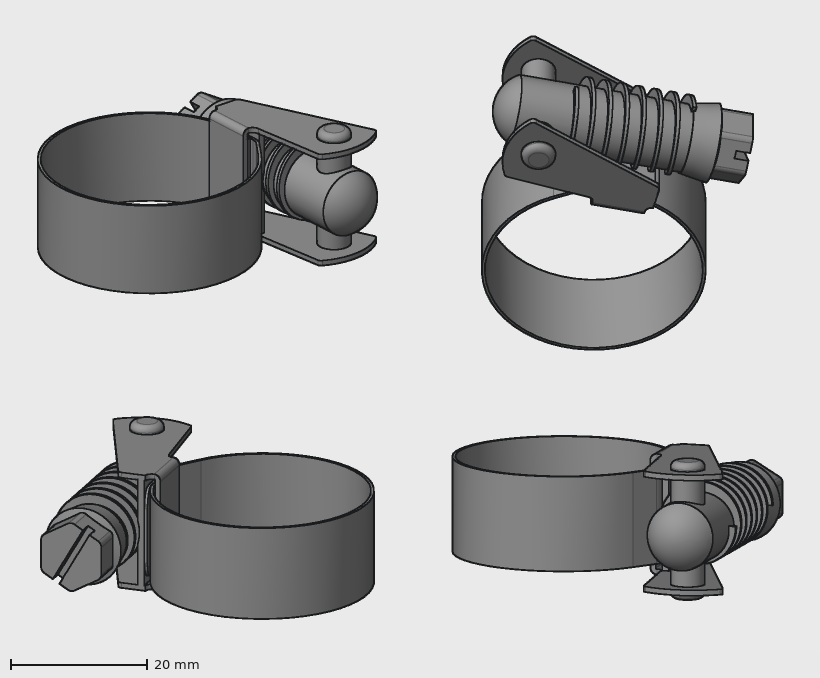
import cadquery as cq
import math


BAND_RADIUS = 16.45
BAND_THICKNESS = 0.45
BAND_WIDTH = 14.15
INNER_LAP_TOP = 16.0
OUTER_LAP_TOP = 16.5
INNER_LAP_END = 3.7
RAMP_ANGLE = 35.0
RAMP_BEND_RADIUS = 2.3
TAIL_END_X = -5.95
TAIL_BEND_X = -4.32
TAIL_ANGLE = 10.0
TAIL_CORNER_RADIUS = 2.85

SCREW_Y = 23.45
SCREW_Z = -0.5
HEX_START_X = -17.25
HEX_ACROSS_FLATS = 9.5
HEX_CORNER_ROUNDING = 1.0
SLOT_WIDTH = 1.2
SLOT_DEPTH = 2.1
SLOT_ANGLE = 120.0
COLLAR_START_X = -12.6
COLLAR_RIM_X = -12.25
COLLAR_END_X = -8.15
COLLAR_RADIUS = 5.95
COLLAR_END_RADIUS = 5.25
SHANK_RADIUS = 5.05
SHANK_END_X = 17.8
DOME_END_X = 20.85

THREAD_RADIUS = 6.07
THREAD_ROOT = 4.35
THREAD_WIDTH = 0.55
THREAD_LENGTH = 17.85
THREAD_TURNS = 7
THREAD_START_X = -8.1

PIN_X = 14.1
PIN_RADIUS = 2.55
PIN_LENGTH = 20.6
PIN_ROUNDING = 1.0

BRACKET_WIDTH = 18.05
SHEET = 0.85
WEB_BOTTOM = 14.5
WEB_HALF_LENGTH = 3.95
BEND_RADIUS = 1.0
EAR_HALF_LENGTH = 4.95
EAR_BOTTOM = 16.45
EAR_TOP = 20.7
CHEEK_TIP = (16.4, 29.68)
CHEEK_NOSE = (19.05, SCREW_Y)
CHEEK_LOWER_TIP = (17.7, 17.75)
CHEEK_ROUNDING = 0.75
BRIDGE_BOTTOM = 16.65
BRIDGE_THICKNESS = 1.0


def round_upright_edge(body, corner, radius):
    """Fillet the edge along Z that passes through the given XY corner."""
    return body.edges(cq.selectors.NearestToPointSelector((*corner, 0))).fillet(radius)


def make_band():
    """One strip: tail, flat outer layer, ramp, ring, then a flat inner layer under the first."""
    inner_radius = BAND_RADIUS - BAND_THICKNESS
    outer_lap_bottom = OUTER_LAP_TOP - BAND_THICKNESS
    inner_lap_bottom = INNER_LAP_TOP - BAND_THICKNESS
    ramp = math.radians(RAMP_ANGLE)

    def ramp_bottom(radius):
        """Point where the ramp is tangent to the ring."""
        return (radius * math.sin(ramp), radius * math.cos(ramp))

    def ramp_top(radius, lap_y):
        """Point where the ramp reaches the height of the outer layer."""
        return ((radius - lap_y * math.cos(ramp)) / math.sin(ramp), lap_y)

    def ring_end(radius, lap_y):
        """Point where the ring meets the inner layer."""
        return (-math.sqrt(radius**2 - lap_y**2), lap_y)

    outer_bend = ramp_top(BAND_RADIUS, OUTER_LAP_TOP)
    inner_bend = ramp_top(inner_radius, outer_lap_bottom)
    strip = (
        cq.Workplane("XY", origin=(0, 0, -BAND_WIDTH / 2))
        .moveTo(0, OUTER_LAP_TOP)
        .lineTo(*outer_bend)
        .lineTo(*ramp_bottom(BAND_RADIUS))
        .threePointArc((0, -BAND_RADIUS), ring_end(BAND_RADIUS, INNER_LAP_TOP))
        .lineTo(INNER_LAP_END, INNER_LAP_TOP)
        .lineTo(INNER_LAP_END, inner_lap_bottom)
        .lineTo(*ring_end(inner_radius, inner_lap_bottom))
        .threePointArc((0, -inner_radius), ramp_bottom(inner_radius))
        .lineTo(*inner_bend)
        .lineTo(0, outer_lap_bottom)
        .close()
        .extrude(BAND_WIDTH)
    )
    strip = round_upright_edge(strip, inner_bend, RAMP_BEND_RADIUS)
    strip = round_upright_edge(strip, outer_bend, RAMP_BEND_RADIUS + BAND_THICKNESS)
    return strip.union(make_tail())


def make_tail():
    """Free end of the outer layer, bent down towards the ring, with rounded corners."""
    drop = (TAIL_BEND_X - TAIL_END_X) * math.tan(math.radians(TAIL_ANGLE))
    bent_strip = (
        cq.Workplane("XY", origin=(0, 0, -BAND_WIDTH / 2))
        .moveTo(0, OUTER_LAP_TOP)
        .lineTo(TAIL_BEND_X, OUTER_LAP_TOP)
        .lineTo(TAIL_END_X, OUTER_LAP_TOP - drop)
        .line(0, -BAND_THICKNESS)
        .lineTo(TAIL_BEND_X, OUTER_LAP_TOP - BAND_THICKNESS)
        .lineTo(0, OUTER_LAP_TOP - BAND_THICKNESS)
        .close()
        .extrude(BAND_WIDTH)
    )
    rounded_outline = (
        cq.Workplane("XY")
        .box(-TAIL_END_X, BAND_RADIUS, BAND_WIDTH, centered=(False, False, True))
        .edges("|Y and <X")
        .fillet(TAIL_CORNER_RADIUS)
        .translate((TAIL_END_X, OUTER_LAP_TOP / 2, 0))
    )
    return bent_strip.intersect(rounded_outline)


def across_screw(x, z=0):
    """Workplane across the screw direction: its own X is +Y, its own Y is +Z, its normal is +X."""
    return cq.Workplane(cq.Plane((x, SCREW_Y, z), xDir=(0, 1, 0), normal=(1, 0, 0)))


def make_screw(pin):
    """Slotted hex head, tapered collar and domed shank, bored for the pin."""
    hexagon = (
        across_screw(HEX_START_X, SCREW_Z)
        .polygon(6, HEX_ACROSS_FLATS, circumscribed=True)
        .extrude(COLLAR_RIM_X - HEX_START_X)
        .edges("|X")
        .fillet(HEX_CORNER_ROUNDING)
    )
    slot = (
        across_screw(HEX_START_X, SCREW_Z)
        .transformed(rotate=(0, 0, SLOT_ANGLE))
        .rect(2 * HEX_ACROSS_FLATS, SLOT_WIDTH)
        .extrude(SLOT_DEPTH)
    )
    dome_height = DOME_END_X - SHANK_END_X
    dome_radius = (SHANK_RADIUS**2 + dome_height**2) / (2 * dome_height)
    dome_mid = math.asin(SHANK_RADIUS / dome_radius) / 2
    dome_centre_x = DOME_END_X - dome_radius
    body = (
        cq.Workplane("XY", origin=(0, SCREW_Y, SCREW_Z))
        .moveTo(COLLAR_START_X, 0)
        .lineTo(COLLAR_START_X, HEX_ACROSS_FLATS / 2)
        .lineTo(COLLAR_RIM_X, COLLAR_RADIUS)
        .lineTo(COLLAR_END_X, COLLAR_END_RADIUS)
        .lineTo(COLLAR_END_X, SHANK_RADIUS)
        .lineTo(SHANK_END_X, SHANK_RADIUS)
        .threePointArc(
            (dome_centre_x + dome_radius * math.cos(dome_mid), dome_radius * math.sin(dome_mid)),
            (DOME_END_X, 0),
        )
        .close()
        .revolve(360, (0, 0, 0), (1, 0, 0))
    )
    return hexagon.cut(slot).union(body).cut(pin)


def make_thread(screw):
    """Square helical rib wound on the shank, centred in the bracket rather than on the shank."""
    path = cq.Wire.makeHelix(THREAD_LENGTH / THREAD_TURNS, THREAD_LENGTH, THREAD_ROOT)
    thread = (
        cq.Workplane("XZ")
        .center((THREAD_ROOT + THREAD_RADIUS) / 2, 0)
        .rect(THREAD_RADIUS - THREAD_ROOT, THREAD_WIDTH)
        .sweep(cq.Workplane(obj=path), isFrenet=True)
    )
    placed = thread.val().moved(cq.Location(across_screw(THREAD_START_X).plane))
    return cq.Workplane(obj=placed).cut(screw)


def make_pin():
    """Cross pin with rounded ends, through both cheeks and the screw."""
    return (
        cq.Workplane("XY", origin=(PIN_X, SCREW_Y, 0))
        .circle(PIN_RADIUS)
        .extrude(PIN_LENGTH / 2, both=True)
        .edges()
        .fillet(PIN_ROUNDING)
    )


def make_bracket(pin):
    """U-shaped sheet: two cheeks joined by a web inside the ring and a bridge above the band."""
    bend_start = EAR_BOTTOM - BEND_RADIUS
    upper_corner = (-EAR_HALF_LENGTH, EAR_TOP)
    block = (
        cq.Workplane("XY", origin=(0, 0, -BRACKET_WIDTH / 2))
        .moveTo(-WEB_HALF_LENGTH, WEB_BOTTOM)
        .lineTo(-WEB_HALF_LENGTH, bend_start)
        .radiusArc((-EAR_HALF_LENGTH, EAR_BOTTOM), -BEND_RADIUS)
        .lineTo(*upper_corner)
        .lineTo(*CHEEK_TIP)
        .threePointArc(CHEEK_NOSE, CHEEK_LOWER_TIP)
        .lineTo(EAR_HALF_LENGTH, EAR_BOTTOM)
        .radiusArc((WEB_HALF_LENGTH, bend_start), -BEND_RADIUS)
        .lineTo(WEB_HALF_LENGTH, WEB_BOTTOM)
        .close()
        .extrude(BRACKET_WIDTH)
    )
    for corner in (upper_corner, CHEEK_TIP, CHEEK_LOWER_TIP):
        block = round_upright_edge(block, corner, CHEEK_ROUNDING)
    block = block.faces("<Y").edges("|X").fillet(BEND_RADIUS)

    inner_width = BRACKET_WIDTH - 2 * SHEET
    opening_length = 2 * CHEEK_NOSE[0] + BEND_RADIUS
    opening = (
        cq.Workplane("XY")
        .box(opening_length, CHEEK_TIP[1], inner_width, centered=(True, False, True))
        .edges("|X and <Y")
        .fillet(BEND_RADIUS - SHEET)
        .translate((0, WEB_BOTTOM + SHEET, 0))
    )
    bridge = (
        cq.Workplane("XY")
        .box(2 * EAR_HALF_LENGTH, BRIDGE_THICKNESS, inner_width, centered=(True, False, True))
        .translate((0, BRIDGE_BOTTOM, 0))
    )
    thread_clearance = across_screw(-EAR_HALF_LENGTH).circle(THREAD_RADIUS).extrude(2 * EAR_HALF_LENGTH)
    return block.cut(opening).union(bridge.cut(thread_clearance)).cut(pin)


band = make_band()
pin = make_pin()
screw = make_screw(pin)
thread = make_thread(screw)
bracket = make_bracket(pin)
bodies = (band, pin, screw, thread, bracket)
result = cq.Compound.makeCompound([body.solids().val() for body in bodies])